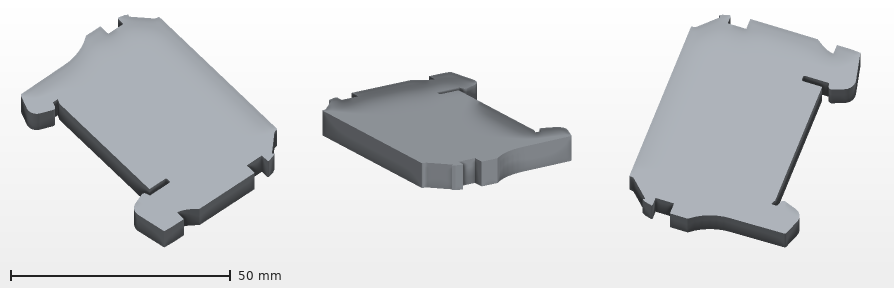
import cadquery as cq
import math

width = 55.0
height = 40.2
thickness = 6.0
half_width = width / 2

top_half_width = 21.2
shoulder_top = 39.25
shoulder_end = (25.7, 34.75)
lip_peak = (26.0, 35.25)
lip_bend = (26.45, 34.55)
lip_half_width = 26.95
lip_bottom = 32.6
neck_half_width = 24.7
wing_top = 28.15
top_corner_radius = 0.3
shoulder_radius = 1.1
lip_radius = 0.3

sweep_radius = 14.4
sweep_bottom = (-24.15, 14.65)
sweep_angle = math.acos(1 - (half_width + sweep_bottom[0]) / sweep_radius)

foot_outer_x = -23.9
foot_outer_y = 1.55
foot_outer_radius = 0.55
left_toe = (-17.7, -0.65)
left_toe_radius = 2.4
left_hook_tip = (-15.5, 5.1)
left_notch_x = -17.5
left_notch_bottom = 5.85
left_notch_top = 7.25
notch_ramp_end_x = -16.2

underside_y = 6.7
slot_left = 15.85
slot_right = 17.3
slot_top = 11.7
slot_radius = 0.4

right_hook_root_y = 5.6
right_hook_tip = (15.6, 5.1)
hook_radius = 0.7
right_toe = (17.75, -0.45)
right_toe_radius = 2.75
heel = (27.35, 1.55)
heel_top_y = 3.8
step_y = 7.25
step_inner_x = 25.0
step_arc_middle = (25.5, 8.9)
step_arc_end = (26.1, 10.0)
right_wing_bottom = 11.9


def mirrored(points):
    """Points reflected across X = 0, in reverse order."""
    return [(-x, y) for x, y in reversed(points)]


def on_sweep(angle):
    """Point on the left concave sweep, measured from its vertical lower end."""
    x = sweep_bottom[0] - sweep_radius * (1 - math.cos(angle))
    y = sweep_bottom[1] + sweep_radius * math.sin(angle)
    return (x, y)


head_right = [
    (half_width, wing_top),
    (neck_half_width, wing_top),
    (neck_half_width, lip_bottom),
    (lip_half_width, lip_bottom),
    lip_bend,
    lip_peak,
    shoulder_end,
    (top_half_width, shoulder_top),
    (top_half_width, height),
]

feet = [
    (foot_outer_x, foot_outer_y),
    left_toe,
    left_hook_tip,
    (left_notch_x, left_notch_bottom),
    (left_notch_x, left_notch_top),
    (notch_ramp_end_x, underside_y),
    (slot_left, underside_y),
    (slot_left, slot_top),
    (slot_right, slot_top),
    (slot_right, right_hook_root_y),
    right_hook_tip,
    right_toe,
    heel,
    (half_width, heel_top_y),
    (half_width, step_y),
    (step_inner_x, step_y),
]

outline = cq.Workplane("XY").moveTo(half_width, right_wing_bottom)
for point in head_right + mirrored(head_right):
    outline = outline.lineTo(*point)
outline = outline.lineTo(*on_sweep(sweep_angle))
outline = outline.threePointArc(on_sweep(sweep_angle / 2), sweep_bottom)
for point in feet:
    outline = outline.lineTo(*point)
outline = outline.threePointArc(step_arc_middle, step_arc_end)
result = outline.close().extrude(thickness)


def round_corner(solid, corner, radius):
    """Fillet the upright edge that stands at the given outline corner."""
    nearest = cq.selectors.NearestToPointSelector((*corner, thickness / 2))
    return solid.edges("|Z").edges(nearest).fillet(radius)


rounded_corners = [
    ((foot_outer_x, foot_outer_y), foot_outer_radius),
    (left_toe, left_toe_radius),
    (left_hook_tip, hook_radius),
    (right_hook_tip, hook_radius),
    (right_toe, right_toe_radius),
    ((slot_left, slot_top), slot_radius),
    ((slot_right, slot_top), slot_radius),
]
for side in (-1, 1):
    rounded_corners.append(((side * top_half_width, height), top_corner_radius))
    rounded_corners.append(((side * top_half_width, shoulder_top), shoulder_radius))
    rounded_corners.append(((side * lip_half_width, lip_bottom), lip_radius))

for corner, radius in rounded_corners:
    result = round_corner(result, corner, radius)